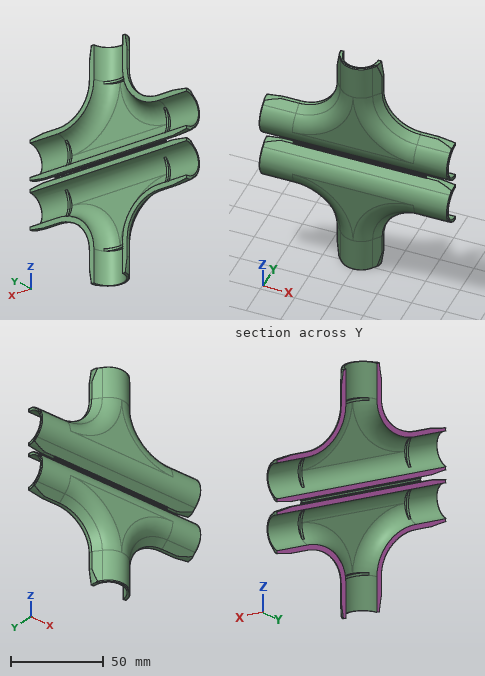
import cadquery as cq
import math


run_half_length = 55.0
branch_length = 55.5
bend_radius = 35.3
overall_height = 140.2
run_axis_z = overall_height / 2 - branch_length

crown_radius = 11.5
crown_end_angle = math.radians(35)
rim_radius = 13.3
rim_depth = 2.1

wall = 1.4
bore_radius = crown_radius - wall
stop_crown_depth = 8.5
stop_crown_radius = 14.5
stop_width = 1.4

taper_length = 9.3
taper_end_radius = 11.9
end_chamfer = 0.49

hinge_half_length = 38.7
hinge_front_depth = 2.2
hinge_back_depth = 1.7
hinge_overlap = 0.5
hinge_rib_offset = 0.8
hinge_rib_width = 0.4
hinge_rib_height = 0.4


def outer_half(plane, side):
    """One side of the outer section; local x runs across the pipe, local y is global Y."""
    crown_x = crown_radius * math.cos(crown_end_angle)
    crown_y = -crown_radius * math.sin(crown_end_angle)
    crown_mid_angle = (crown_end_angle + math.pi / 2) / 2
    crown_mid_x = crown_radius * math.cos(crown_mid_angle)
    crown_mid_y = -crown_radius * math.sin(crown_mid_angle)
    rim_end_angle = math.asin(rim_depth / rim_radius)
    rim_end_x = rim_radius * math.cos(rim_end_angle)
    rim_mid_x = rim_radius * math.cos(rim_end_angle / 2)
    rim_mid_y = -rim_radius * math.sin(rim_end_angle / 2)
    return (
        cq.Workplane(plane)
        .lineTo(side * rim_radius, 0)
        .threePointArc((side * rim_mid_x, rim_mid_y), (side * rim_end_x, -rim_depth))
        .lineTo(side * crown_x, crown_y)
        .threePointArc((side * crown_mid_x, crown_mid_y), (0, -crown_radius))
        .close()
    )


def bore_half(plane, side):
    """One side of the round bore section."""
    middle = bore_radius * math.sqrt(0.5)
    return (
        cq.Workplane(plane)
        .lineTo(side * bore_radius, 0)
        .threePointArc((side * middle, -middle), (0, -bore_radius))
        .close()
    )


def run_plane(x):
    """Section plane across the run, facing +X."""
    return cq.Plane(origin=(x, 0, 0), xDir=(0, 0, -1), normal=(1, 0, 0))


def branch_plane(z):
    """Section plane across the branch, facing +Z."""
    return cq.Plane(origin=(0, 0, z), xDir=(1, 0, 0), normal=(0, 0, 1))


def pipe(half_section, plane, length):
    """Straight pipe with both sides of its section."""
    return half_section(plane, 1).extrude(length).union(half_section(plane, -1).extrude(length))


def ports(half_section):
    """The three straight pipes beyond the elbows."""
    run_port = run_half_length - bend_radius
    left = pipe(half_section, run_plane(-run_half_length), run_port)
    right = pipe(half_section, run_plane(bend_radius), run_port)
    top = pipe(half_section, branch_plane(bend_radius), branch_length - bend_radius)
    return left.union(right).union(top)


def junction(half_section, crown_depth):
    """Back half of the run, a flat-topped web and the bend-side half of each elbow."""
    back = half_section(run_plane(-bend_radius), 1).extrude(2 * bend_radius)
    elbow = half_section(branch_plane(bend_radius), 1).revolve(
        90, (bend_radius, 0, 0), (bend_radius, -1, 0)
    )
    arc_mid = bend_radius * (1 - math.sqrt(0.5))
    web = (
        cq.Workplane("XZ")
        .moveTo(-bend_radius, 0)
        .threePointArc((-arc_mid, arc_mid), (0, bend_radius))
        .threePointArc((arc_mid, arc_mid), (bend_radius, 0))
        .close()
        .extrude(crown_depth)
    )
    return back.union(web).union(elbow).union(elbow.mirror("YZ"))


def end_cutter():
    """Conical ring that tapers the rims of a pipe ending at z = 0; thicker than the cut."""
    return (
        cq.Workplane("XZ")
        .moveTo(taper_end_radius, 0)
        .lineTo(rim_radius, -taper_length)
        .lineTo(rim_radius + wall, -taper_length)
        .lineTo(rim_radius + wall, 0)
        .close()
        .revolve(360, (0, 0, 0), (0, 1, 0))
    )


def outer_tee():
    """Solid tee with chamfered ports and tapered rims."""
    body = ports(outer_half)
    open_edge_margin = rim_depth / 4
    for end in ("<X", ">X", ">Z"):
        outline = body.faces(end).edges().filter(lambda edge: edge.Center().y < -open_edge_margin)
        body = outline.chamfer(end_chamfer)
    cutter = end_cutter()
    body = body.cut(cutter.translate((0, 0, branch_length)))
    for side in (-1, 1):
        turned = cutter.rotate((0, 0, 0), (0, 1, 0), side * 90)
        body = body.cut(turned.translate((side * run_half_length, 0, 0)))
    return body.union(junction(outer_half, crown_radius))


def inner_tee():
    """Space inside the tee."""
    return ports(bore_half).union(junction(bore_half, bore_radius))


def pipe_stop(plane):
    """Crescent on the crown side of the bore, rooted in the middle of the wall."""
    disc = cq.Workplane(plane).circle(bore_radius + wall / 2).extrude(stop_width)
    opening = (
        cq.Workplane(plane)
        .center(0, stop_crown_radius - stop_crown_depth)
        .circle(stop_crown_radius)
        .extrude(stop_width)
    )
    return disc.cut(opening)


def hinge():
    """Thin web between the two run rims with two ribs on each face."""
    length = 2 * hinge_half_length
    thickness = hinge_front_depth - hinge_back_depth
    middle_y = -(hinge_front_depth + hinge_back_depth) / 2
    height = 2 * (run_axis_z - rim_radius + hinge_overlap)
    body = cq.Workplane("XY").box(length, thickness, height)
    for side in (-1, 1):
        rib = cq.Workplane("XY").box(length, thickness + 2 * hinge_rib_height, hinge_rib_width)
        body = body.union(rib.translate((0, 0, side * hinge_rib_offset)))
    return body.translate((0, middle_y, 0))


upper = outer_tee().cut(inner_tee(), clean=False)
stop_planes = (
    run_plane(-bend_radius),
    run_plane(bend_radius - stop_width),
    branch_plane(bend_radius - stop_width),
)
for stop_plane in stop_planes:
    upper = upper.union(pipe_stop(stop_plane), clean=False)
upper = upper.translate((0, 0, run_axis_z))
result = upper.union(upper.mirror("XY"), clean=False).union(hinge(), clean=False)